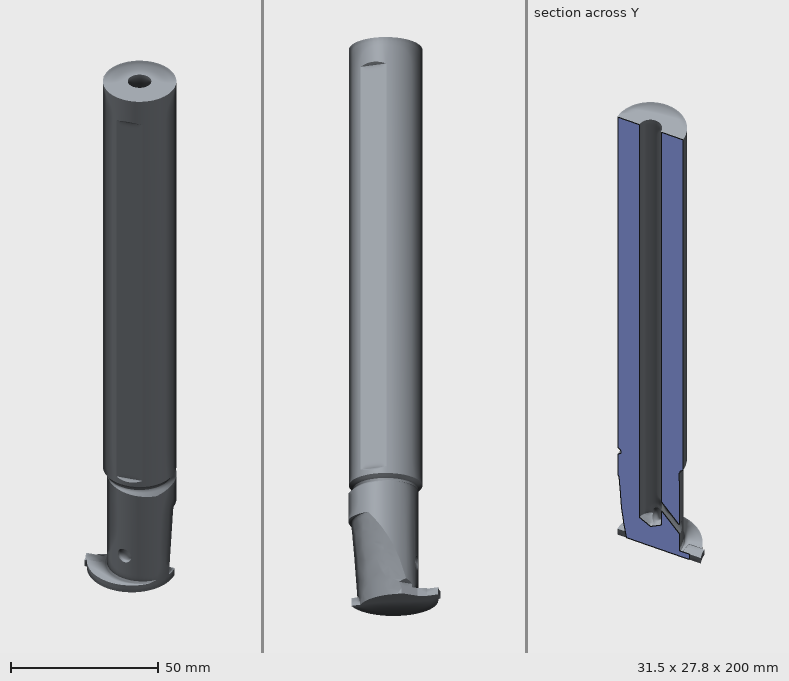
import cadquery as cq
import math

TOTAL_LENGTH = 200.0
OVERALL_WIDTH = 31.5
SHANK_RADIUS = 12.5

FLAT_OFFSET = 11.5
FLAT_BOTTOM = 44.5
FLAT_TOP = 190.5

GROOVE_RADIUS = 11.2
GROOVE_BOTTOM = 39.8
GROOVE_TOP = 40.5
FLANK_STEP = SHANK_RADIUS - GROOVE_RADIUS

FLANGE_RADIUS = 15.3
FLANGE_CENTRE_X = SHANK_RADIUS - FLANGE_RADIUS
FLANGE_THICKNESS = 2.8
NECK_RADIUS = 12.2
NECK_CENTRE_X = 1.2
NECK_CENTRE_Y = -0.3
NECK_FOOT = 0.5

RELIEF_START_HEIGHT = 28.5
RELIEF_BOTTOM_BACK_Y = 5.8
RELIEF_START_BACK_Y = 12.5

GULLET_OFFSET = 9.5
GULLET_HEIGHT = 4.0
GULLET_RUNOUT = 2.5

TONGUE_BACK_Y = 5.5
TONGUE_TOE_X = -15.0
TONGUE_TOE_Y = 1.2

TIP_REACH_X = SHANK_RADIUS - OVERALL_WIDTH
TIP_FLANK_X = -18.5
TIP_FLANK_Y = -2.8
TIP_INNER_X = -13.8
TIP_INNER_Y = -0.8

SEAT_BACK_X = -12.5
SEAT_WIDTH = 4.2
SEAT_DROP = 0.2

BORE_RADIUS = 4.0
BORE_FLOOR = 12.0
BORE_POINT_ANGLE = 118.0
FRONT_OUTLET_RADIUS = 2.5
FRONT_OUTLET_X = -1.5
OUTLET_HEIGHT = 12.8
SIDE_OUTLET_RADIUS = 1.5
SIDE_OUTLET_Y = -1.0
SIDE_OUTLET_LEAN = 50.0

CLEAR = 20.0


def disc(radius, centre_x, centre_y, bottom, top):
    """Vertical cylinder between two heights."""
    return cq.Workplane("XY", origin=(centre_x, centre_y, bottom)).circle(radius).extrude(top - bottom)


def make_shank():
    """Round shank with two flats that run out at 45 degrees."""
    shank = disc(SHANK_RADIUS, 0, 0, GROOVE_BOTTOM, TOTAL_LENGTH)
    flat_depth = SHANK_RADIUS - FLAT_OFFSET
    flat = (
        cq.Workplane("YZ")
        .moveTo(FLAT_OFFSET, FLAT_BOTTOM)
        .lineTo(SHANK_RADIUS, FLAT_BOTTOM - flat_depth)
        .lineTo(SHANK_RADIUS, FLAT_TOP + flat_depth)
        .lineTo(FLAT_OFFSET, FLAT_TOP)
        .close()
        .extrude(SHANK_RADIUS, both=True)
    )
    return shank.cut(flat).cut(flat.mirror("XZ"))


def make_groove():
    """Ring with 45 degree flanks that separates shank and neck."""
    flank = 2 * FLANK_STEP
    outer = GROOVE_RADIUS + flank
    return (
        cq.Workplane("XZ")
        .moveTo(GROOVE_RADIUS, GROOVE_BOTTOM)
        .lineTo(outer, GROOVE_BOTTOM - flank)
        .lineTo(outer, GROOVE_TOP + flank)
        .lineTo(GROOVE_RADIUS, GROOVE_TOP)
        .close()
        .revolve(360, (0, 0, 0), (0, 1, 0))
    )


def make_back_relief():
    """Material behind the leaning flange circle, to be removed from the neck."""
    bottom_y = RELIEF_BOTTOM_BACK_Y - FLANGE_RADIUS
    start_y = RELIEF_START_BACK_Y - FLANGE_RADIUS
    behind_axis = (
        cq.Workplane("YZ")
        .moveTo(bottom_y, 0)
        .lineTo(CLEAR, 0)
        .lineTo(CLEAR, RELIEF_START_HEIGHT)
        .lineTo(start_y, RELIEF_START_HEIGHT)
        .close()
        .extrude(CLEAR, both=True)
    )
    kept = (
        cq.Workplane("XY", origin=(FLANGE_CENTRE_X, bottom_y, 0))
        .circle(FLANGE_RADIUS)
        .workplane(offset=RELIEF_START_HEIGHT)
        .center(0, start_y - bottom_y)
        .circle(FLANGE_RADIUS)
        .loft(ruled=True)
    )
    return behind_axis.cut(kept)


def make_gullet():
    """Notch in the neck behind the rake face of the cutting tip."""
    return (
        cq.Workplane(cq.Plane(origin=(0, 0, 0), xDir=(-1, 1, 0), normal=(1, 1, 0)))
        .moveTo(GULLET_OFFSET, 0)
        .lineTo(GULLET_OFFSET, GULLET_HEIGHT)
        .lineTo(GULLET_OFFSET + GULLET_RUNOUT, GULLET_HEIGHT + GULLET_RUNOUT)
        .lineTo(GULLET_OFFSET + GULLET_RUNOUT, 0)
        .close()
        .extrude(CLEAR, both=True)
    )


def front_half_disc(height):
    """Front half of the flange outline, standing on z = 0."""
    return (
        cq.Workplane("XY")
        .moveTo(FLANGE_CENTRE_X - FLANGE_RADIUS, 0)
        .threePointArc((FLANGE_CENTRE_X, -FLANGE_RADIUS), (FLANGE_CENTRE_X + FLANGE_RADIUS, 0))
        .close()
        .extrude(height)
    )


def make_flange():
    """Front half disc with the tongue and the tip seat."""
    corner = GULLET_OFFSET * math.sqrt(2)
    tongue = (
        cq.Workplane("XY")
        .moveTo(TONGUE_TOE_X, 0)
        .lineTo(TONGUE_TOE_Y - corner, TONGUE_TOE_Y)
        .lineTo(TONGUE_BACK_Y - corner, TONGUE_BACK_Y)
        .lineTo(0, TONGUE_BACK_Y)
        .lineTo(0, 0)
        .close()
        .extrude(FLANGE_THICKNESS)
    )
    seat = (
        cq.Workplane("XY")
        .moveTo(TIP_FLANK_X, 0)
        .lineTo(SEAT_BACK_X, 0)
        .lineTo(SEAT_BACK_X, -SEAT_WIDTH)
        .lineTo(TIP_FLANK_X, -SEAT_WIDTH)
        .close()
        .extrude(FLANGE_THICKNESS)
    )
    seat_recess = seat.translate((0, 0, FLANGE_THICKNESS - SEAT_DROP))
    return front_half_disc(FLANGE_THICKNESS).union(tongue).union(seat).cut(seat_recess)


def make_neck_foot():
    """Bevelled foot that joins the front of the neck to the flange."""
    foot = (
        cq.Workplane("XY", origin=(NECK_CENTRE_X, NECK_CENTRE_Y, FLANGE_THICKNESS))
        .circle(NECK_RADIUS + NECK_FOOT)
        .workplane(offset=NECK_FOOT)
        .circle(NECK_RADIUS)
        .loft(ruled=True)
    )
    return foot.intersect(front_half_disc(FLANGE_THICKNESS + NECK_FOOT))


def make_head():
    """Eccentric neck standing on the front half of the flange disc."""
    neck = disc(NECK_RADIUS, NECK_CENTRE_X, NECK_CENTRE_Y, 0, GROOVE_BOTTOM).intersect(
        disc(FLANGE_RADIUS, FLANGE_CENTRE_X, 0, 0, GROOVE_BOTTOM)
    )
    neck = neck.union(make_neck_foot()).cut(make_back_relief()).cut(make_gullet())
    return neck.union(make_flange())


def make_bore():
    """Axial coolant bore with a drill-point floor."""
    point_height = BORE_RADIUS / math.tan(math.radians(BORE_POINT_ANGLE / 2))
    return (
        cq.Workplane("XZ")
        .moveTo(0, BORE_FLOOR - point_height)
        .lineTo(BORE_RADIUS, BORE_FLOOR)
        .lineTo(BORE_RADIUS, TOTAL_LENGTH)
        .lineTo(0, TOTAL_LENGTH)
        .close()
        .revolve(360, (0, 0, 0), (0, 1, 0))
    )


def make_front_outlet():
    """Level outlet from the bore to the front of the neck."""
    return (
        cq.Workplane("XZ", origin=(FRONT_OUTLET_X, 0, OUTLET_HEIGHT))
        .circle(FRONT_OUTLET_RADIUS)
        .extrude(CLEAR)
    )


def make_side_outlet():
    """Outlet from the bore leaning down towards the cutting tip."""
    lean = math.radians(SIDE_OUTLET_LEAN)
    exit_point = cq.Vector(NECK_CENTRE_X - NECK_RADIUS, SIDE_OUTLET_Y, OUTLET_HEIGHT)
    inward = cq.Vector(math.cos(lean), 0, math.sin(lean))
    run_inside = -exit_point.x / math.cos(lean)
    run_outside = 2 * SIDE_OUTLET_RADIUS
    start = exit_point - inward * run_outside
    return cq.Workplane(
        cq.Solid.makeCylinder(SIDE_OUTLET_RADIUS, run_outside + run_inside, start, inward)
    )


def make_tip():
    """Wedge-shaped cutting tip, flush with the seat that backs it up."""
    return (
        cq.Workplane("XY")
        .moveTo(TIP_REACH_X, 0)
        .lineTo(TONGUE_TOE_X, 0)
        .lineTo(TIP_INNER_X, TIP_INNER_Y)
        .lineTo(TIP_FLANK_X, TIP_FLANK_Y)
        .close()
        .extrude(FLANGE_THICKNESS - SEAT_DROP)
    )


tip = make_tip()
holder = make_shank().union(make_head()).cut(make_groove()).cut(make_bore())
holder = holder.cut(make_front_outlet()).cut(make_side_outlet()).cut(tip)

result = cq.Compound.makeCompound([holder.val(), tip.val()])